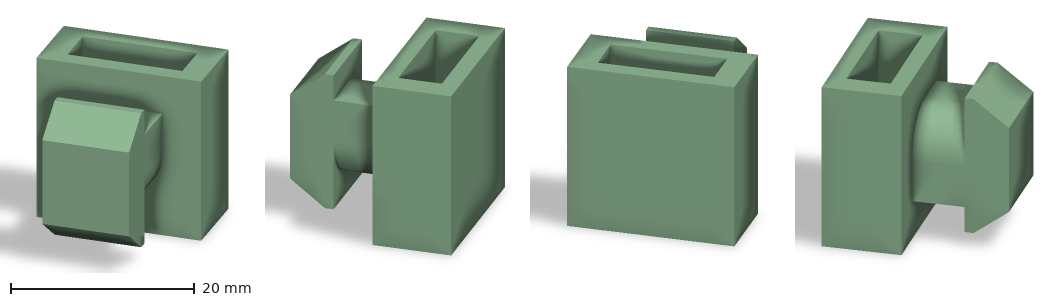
import cadquery as cq

total_depth = 19.9
block_side = 19.0
block_depth = 9.0
slot_width = 13.25
slot_depth = 5.0
neck_side = 10.0
head_height = 16.0
head_depth = 5.0
head_rim = 1.0

head_front = block_depth - total_depth
head_back = head_front + head_depth
neck_length = -head_back
neck_radius = neck_side / 2


def make_block():
    """Square block with a rectangular slot running through it along Z."""
    center_y = block_depth / 2
    block = cq.Workplane("XY").box(block_side, block_depth, block_side)
    slot = cq.Workplane("XY").box(slot_width, slot_depth, block_side)
    return block.cut(slot).translate((0, center_y, 0))


def make_neck():
    """Quarter-turn neck: a cylinder with two diagonally opposite square corners."""
    neck = cq.Workplane("XZ").circle(neck_radius).extrude(neck_length)
    for side in (1, -1):
        corner = (
            cq.Workplane("XZ")
            .center(side * neck_radius / 2, side * neck_radius / 2)
            .rect(neck_radius, neck_radius)
            .extrude(neck_length)
        )
        neck = neck.union(corner)
    return neck


def make_head():
    """T-shaped head with sloped upper and lower faces, tapering to the neck height."""
    profile = [
        (head_back, -head_height / 2),
        (head_back, head_height / 2),
        (head_back - head_rim, head_height / 2),
        (head_front, neck_side / 2),
        (head_front, -neck_side / 2),
        (head_back - head_rim, -head_height / 2),
    ]
    return cq.Workplane("YZ").polyline(profile).close().extrude(neck_side / 2, both=True)


result = make_block().union(make_neck()).union(make_head())